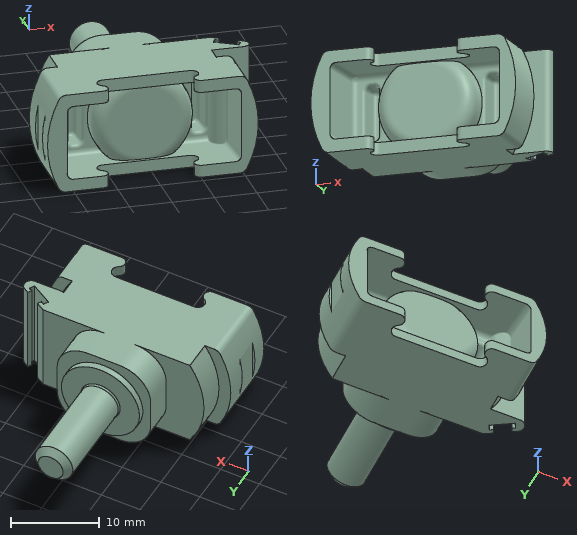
import cadquery as cq
import math

clearance = 0.28
edge_margin = 0.03

body_height = 12.0
half_height = body_height / 2
body_half_length = 12.4
end_radius = 12.0
end_corner_radius = 1.0
shoulder_half_length = 10.89
shoulder_radius = shoulder_half_length

right_skirt_depth = 6.0
skirt_depth = 8.0
body_depth = 11.62
boss_depth = 15.37
collar_depth = 16.2
total_depth = 28.2

boss_corner_radius = 4.0
collar_radius = 5.02
pin_radius = 2.43
pin_chamfer = 0.82
pin_flare_width = 0.1
pin_flare_length = 0.25

channel_depth = 3.07
channel_half_mouth = 5.08
lip_radius = 0.8
channel_corner_radius = 0.85

pocket_half_height = 4.5
pocket_floor = 6.45
pocket_left = -10.07
pocket_right = 10.43
left_wall_lean = 0.42
right_wall_lean = 0.48
pocket_corner_radius = 0.73
pocket_floor_radius = 0.8
step_depth = 4.8
step_radius = 1.65
step_left = pocket_right - right_wall_lean - step_radius
step_blend_radius = 0.17
head_depth = 3.47
head_radius = 5.98
head_round = 1.65

groove_spacing = 14.55
groove_middle = -0.08
groove_width = 1.72
groove_length = 6.6
groove_depth = 2.25
groove_corner_radius = 0.68
groove_rim_radius = 0.45
groove_taper = 8.0
groove_bottom_radius = 0.54

hook_angle = 30.0
hook_radius = 0.87
hook_centre_x = 12.83
label_from_hook = 1.72
label_slot_width = 3.0
label_mouth_width = 2.1
label_slot_depth = 1.18
label_lip = 0.54

recess_floor = 12.1
recess_start = 2.2
recess_end = 5.25


def bowed_block(half_length, radius, depth):
    """Block along +Y from Y = 0, with flat top and bottom and bowed ends."""
    corner = half_length - radius + math.sqrt(radius**2 - half_height**2)
    return (
        cq.Workplane("XZ")
        .moveTo(-corner, -half_height)
        .lineTo(corner, -half_height)
        .threePointArc((half_length, 0), (corner, half_height))
        .lineTo(-corner, half_height)
        .threePointArc((-half_length, 0), (-corner, -half_height))
        .close()
        .extrude(-depth)
    )


def z_prism(outline, height):
    """Extrude an XY outline symmetrically about Z = 0."""
    return outline.extrude(height / 2, both=True)


def box(x0, x1, y0, y1, height):
    """Box between two X and two Y limits, centred on Z = 0."""
    middle = ((x0 + x1) / 2, (y0 + y1) / 2, 0)
    return cq.Workplane("XY").box(x1 - x0, y1 - y0, height).translate(middle)


def make_skirt():
    """Wide lower body, with a side slot under the hook on the +X side."""
    skirt = bowed_block(body_half_length, end_radius, skirt_depth)
    skirt = skirt.edges("|Y").fillet(end_corner_radius)
    side_slot = box(0, body_half_length + clearance, right_skirt_depth, skirt_depth, body_height)
    return skirt.cut(side_slot)


def make_neck():
    """Set-in neck; above the skirt its +X half gives way to the hook."""
    neck = bowed_block(shoulder_half_length, shoulder_radius, body_depth)
    return neck.cut(box(0, shoulder_half_length + clearance, skirt_depth, body_depth, body_height))


def make_hook():
    """+X side of the upper body: a sloped label holder ending in a round hook."""
    angle = math.radians(hook_angle)
    along = (math.cos(angle), -math.sin(angle))
    outward = (math.sin(angle), math.cos(angle))
    centre = (hook_centre_x, skirt_depth + hook_radius)

    def place(u, v):
        """Point u along the label face and v outward, from the hook centre."""
        return (
            centre[0] + u * along[0] + v * outward[0],
            centre[1] + u * along[1] + v * outward[1],
        )

    face_start = (body_depth - place(0, hook_radius)[1]) / along[1]
    arc_middle = (
        centre[0] + hook_radius * math.cos(angle / 2),
        centre[1] - hook_radius * math.sin(angle / 2),
    )
    hook = z_prism(
        cq.Workplane("XY")
        .moveTo(0, skirt_depth)
        .lineTo(centre[0], skirt_depth)
        .threePointArc(arc_middle, place(0, hook_radius))
        .lineTo(*place(face_start, hook_radius))
        .lineTo(0, body_depth)
        .close(),
        body_height,
    )

    def label_cut(width, top, bottom):
        corners = [
            place(-label_from_hook + side * width / 2, level)
            for side, level in ((-1, top), (1, top), (1, bottom), (-1, bottom))
        ]
        return z_prism(cq.Workplane("XY").polyline(corners).close(), body_height)

    undercut = label_cut(label_slot_width, hook_radius - label_lip, hook_radius - label_slot_depth)
    mouth = label_cut(label_mouth_width, hook_radius + clearance, hook_radius - label_slot_depth)
    return hook.cut(undercut).cut(mouth)


def make_boss():
    """Square boss with large round corners."""
    boss = box(-half_height, half_height, skirt_depth, boss_depth, body_height)
    return boss.edges("|Y").fillet(boss_corner_radius)


def make_pin():
    """Collar and chamfered pin turned about the Y axis."""
    profile = (
        cq.Workplane("XY")
        .moveTo(0, body_depth)
        .lineTo(collar_radius, body_depth)
        .lineTo(collar_radius, collar_depth)
        .lineTo(pin_radius + pin_flare_width, collar_depth)
        .lineTo(pin_radius, collar_depth + pin_flare_length)
        .lineTo(pin_radius, total_depth - pin_chamfer)
        .lineTo(pin_radius - pin_chamfer, total_depth)
        .lineTo(0, total_depth)
        .close()
    )
    return profile.revolve(360, (0, 0, 0), (0, 1, 0))


def make_channel():
    """Rail channel whose lips run tangent into its rounded inner corners."""
    lip_x = channel_half_mouth + lip_radius
    corner_y = channel_depth - channel_corner_radius
    reach = lip_radius + channel_corner_radius
    corner_x = lip_x - math.sqrt(reach**2 - (corner_y - lip_radius) ** 2)
    share = lip_radius / reach
    meet = (lip_x + share * (corner_x - lip_x), lip_radius + share * (corner_y - lip_radius))
    side = corner_x + channel_corner_radius
    outline = (
        cq.Workplane("XY")
        .moveTo(lip_x, 0)
        .threePointArc((channel_half_mouth, lip_radius), meet)
        .threePointArc((side, corner_y), (corner_x, channel_depth))
        .lineTo(-corner_x, channel_depth)
        .threePointArc((-side, corner_y), (-meet[0], meet[1]))
        .threePointArc((-channel_half_mouth, lip_radius), (-lip_x, 0))
        .close()
    )
    return z_prism(outline, body_height)


def make_groove(x):
    """Groove with leaning walls, sunk into the pocket floor."""
    groove = (
        cq.Workplane("XZ", origin=(x, pocket_floor, 0))
        .sketch()
        .rect(groove_width, groove_length)
        .vertices()
        .fillet(groove_corner_radius)
        .finalize()
        .extrude(-groove_depth, taper=groove_taper)
    )
    return groove.faces(">Y").edges().fillet(groove_bottom_radius)


def make_pocket():
    """Cavity open at Y = 0, leaving the step and the round head standing in it."""
    outline = cq.Workplane("XY").polyline(
        [
            (pocket_left, 0),
            (pocket_right, 0),
            (pocket_right - right_wall_lean, pocket_floor),
            (pocket_left + left_wall_lean, pocket_floor),
        ]
    )
    pocket = z_prism(outline.close(), 2 * pocket_half_height)
    pocket = pocket.edges("not(|X or |Z)").fillet(pocket_corner_radius)
    pocket = pocket.faces(">Y").edges().fillet(pocket_floor_radius)
    for side in (-1, 1):
        pocket = pocket.union(make_groove(groove_middle + side * groove_spacing / 2))
    rim = cq.selectors.BoxSelector(
        (-body_half_length, pocket_floor - edge_margin, -groove_length / 2 - edge_margin),
        (body_half_length, pocket_floor + edge_margin, groove_length / 2 + edge_margin),
        boundingbox=True,
    )
    pocket = pocket.edges(rim).fillet(groove_rim_radius)
    pocket = pocket.cut(make_step())
    step_edges = cq.selectors.BoxSelector(
        (step_left - edge_margin, step_depth - edge_margin, -half_height),
        (pocket_right, step_depth + step_radius + edge_margin, half_height),
        boundingbox=True,
    )
    pocket = pocket.edges(step_edges).fillet(step_blend_radius)
    return pocket.cut(make_head())


def make_step():
    """Rounded step that keeps a wall around the side slot."""
    step = box(step_left, body_half_length, step_depth, body_depth, body_height)
    return step.edges("|Z and <X and <Y").fillet(step_radius)


def make_head():
    """Round head of the pin, standing up from the pocket floor."""
    head = cq.Workplane("XZ", origin=(0, head_depth, 0)).circle(head_radius).extrude(head_depth - body_depth)
    return head.faces("<Y").edges().fillet(head_round)


def make_recess():
    """Flat-bottomed recess in the bowed end on the -X side."""
    return box(-body_half_length - clearance, -recess_floor, recess_start, recess_end, body_height)


body = make_skirt().union(make_neck()).union(make_hook()).union(make_boss()).union(make_pin())
result = body.cut(make_pocket()).cut(make_channel()).cut(make_recess())